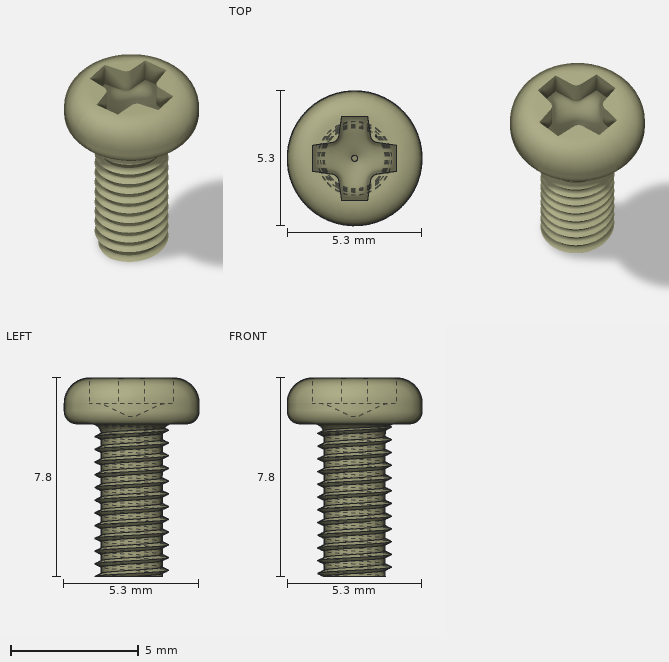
import cadquery as cq
import math

shank_length = 6.0
head_radius = 2.65
head_height = 1.8
head_top_round = 1.0
head_bottom_round = 0.5
neck_fillet = 0.4

core_radius = 1.2
crest_radius = 1.45
pitch = 0.5
thread_half_width_at_core = pitch / 4
buried_root_radius = 1.15
flank_steps = 6
crest_angle_at_tip = 90.0

cross_half_span = 1.65
arm_end_half_width = 0.51
arm_taper = math.radians(8.3)
cross_corner_round = 0.3
cross_depth = 1.0

dish_outer_radius = 1.43
dish_round = 1.0
cone_outer_radius = 1.0
cone_tip_radius = 0.12

top_z = shank_length + head_height
neck_z = shank_length - neck_fillet


def make_head():
    """Rounded pan head standing on top of the shank."""
    head = cq.Workplane("XY").workplane(offset=shank_length).circle(head_radius).extrude(head_height)
    head = head.faces(">Z").edges().fillet(head_top_round)
    return head.faces("<Z").edges().fillet(head_bottom_round)


def make_neck():
    """Concave flare from the core out to the underside of the head."""
    neck_radius = core_radius + neck_fillet
    arc_inset = neck_fillet * (1 - math.cos(math.radians(45)))
    arc_middle = (core_radius + arc_inset, shank_length - arc_inset)
    return (
        cq.Workplane("XZ")
        .moveTo(0, neck_z)
        .lineTo(core_radius, neck_z)
        .threePointArc(arc_middle, (neck_radius, shank_length))
        .lineTo(0, shank_length)
        .close()
        .revolve(360, (0, 0, 0), (0, 1, 0))
    )


def make_core():
    """Plain cylinder under the thread, from the screw tip up to the neck."""
    return cq.Workplane("XY").circle(core_radius).extrude(neck_z)


def make_thread(bottom_z, thread_top_z):
    """Sharp thread between two heights: a flat cross-section twisted one full turn per pitch.

    The section is a spiral rising to the crest and a spiral falling back, closed by an arc
    that lies below the core surface.
    """
    core_flank_angle = math.radians(360 * thread_half_width_at_core / pitch)
    flank_angle = core_flank_angle * (crest_radius - buried_root_radius) / (crest_radius - core_radius)
    crest_angle = math.radians(crest_angle_at_tip + 360 * bottom_z / pitch)
    thread_length = thread_top_z - bottom_z

    def flank_point(step, side):
        fraction = step / flank_steps
        radius = crest_radius - (crest_radius - buried_root_radius) * fraction
        angle = crest_angle + side * flank_angle * fraction
        return (radius * math.cos(angle), radius * math.sin(angle))

    root_middle = (-buried_root_radius * math.cos(crest_angle), -buried_root_radius * math.sin(crest_angle))
    rising = [flank_point(step, -1) for step in range(flank_steps, -1, -1)]
    falling = [flank_point(step, 1) for step in range(flank_steps + 1)]
    section = (
        cq.Workplane("XY")
        .workplane(offset=bottom_z)
        .moveTo(*falling[-1])
        .threePointArc(root_middle, rising[0])
        .spline(rising[1:], includeCurrent=True)
        .spline(falling[1:], includeCurrent=True)
        .close()
    )
    return section.twistExtrude(thread_length, 360 * thread_length / pitch)


def make_cross():
    """Four arms that narrow outwards, with rounded inner corners, down to the flat recess floor."""
    taper = math.tan(arm_taper)
    corner = (arm_end_half_width + cross_half_span * taper) / (1 + taper)
    outline = []
    for quarter in range(4):
        turn = math.radians(90 * quarter)
        arm_points = [
            (cross_half_span, -arm_end_half_width),
            (cross_half_span, arm_end_half_width),
            (corner, corner),
        ]
        for x, y in arm_points:
            outline.append((x * math.cos(turn) - y * math.sin(turn), x * math.sin(turn) + y * math.cos(turn)))
    cross = cq.Workplane("XY").workplane(offset=top_z).polyline(outline).close().extrude(-cross_depth)
    inner_zone = cq.selectors.BoxSelector(
        (-cross_half_span / 2, -cross_half_span / 2, 0),
        (cross_half_span / 2, cross_half_span / 2, top_z),
    )
    return cross.edges("|Z").edges(inner_zone).fillet(cross_corner_round)


def make_dish():
    """Convex ring curving down from the recess floor into a tangent cone with a small flat tip."""
    floor_z = top_z - cross_depth
    cone_slope = math.asin((dish_outer_radius - cone_outer_radius) / dish_round)
    cone_rim_z = floor_z - dish_round * (1 - math.cos(cone_slope))
    cone_tip_z = cone_rim_z - (cone_outer_radius - cone_tip_radius) * math.tan(cone_slope)
    arc_middle = (
        dish_outer_radius - dish_round * math.sin(cone_slope / 2),
        floor_z - dish_round * (1 - math.cos(cone_slope / 2)),
    )
    return (
        cq.Workplane("XZ")
        .moveTo(0, cone_tip_z)
        .lineTo(cone_tip_radius, cone_tip_z)
        .lineTo(cone_outer_radius, cone_rim_z)
        .threePointArc(arc_middle, (dish_outer_radius, floor_z))
        .lineTo(0, floor_z)
        .close()
        .revolve(360, (0, 0, 0), (0, 1, 0))
    )


head = make_head().cut(make_cross()).cut(make_dish())
threaded_neck = make_neck().union(make_thread(neck_z, shank_length), clean=False)
plain_shank_screw = head.union(threaded_neck, clean=False).union(make_core(), clean=False)
result = plain_shank_screw.union(make_thread(0, neck_z), clean=False)